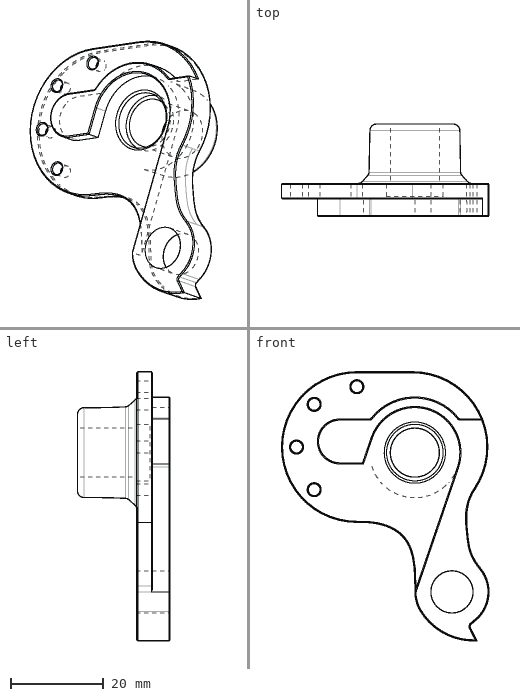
import math

import cadquery as cq


PLATE_THICKNESS = 3.4
RAISED_HEIGHT = 3.8
BOSS_HEIGHT = 12.8
EDGE_CHAMFER = 0.25

LOBE_RADIUS = 16.25
LOBE_Z = 1.2
LEFT_LOBE_X = -12.5
RIGHT_LOBE_X = -0.5
RIGHT_LOBE_END_ANGLE = math.radians(-34)

EYE_X, EYE_Z = 8.0, -30.02
EYE_RADIUS = 8.0
EYE_HOLE_DIAMETER = 9.04
EYE_START_ANGLE = math.radians(40)
EYE_END_ANGLE = math.radians(-52)
CLAW_START_ANGLE = math.radians(212)
CLAW_RADIUS = 13.5
CLAW_TIP_X = 13.4
CLAW_NOTCH = (11.75, -37.3)
NOTCH_FILLET = 0.7

NECK_RIGHT_MIDDLE = ((11.2, -13.0), (11.4, -17.5))
NECK_LEFT_START_X = -11.5
NECK_LEFT_END_Z = -28.76
NECK_LEFT_MIDDLE = (-3.3, -17.5)

PAD_RADIUS = 4.85
PAD_X, PAD_Z = -16.15, 2.4
RIB_INNER_RADIUS = 9.7
RIB_OUTER_RADIUS = 12.0
RIB_CORNER_FILLET = 0.5

BOSS_BASE_RADIUS = 11.7
BOSS_ROOT_RADIUS = 9.9
BOSS_TIP_RADIUS = 9.7
BOSS_CONE_HEIGHT = 2.0
BOSS_FOOT_FILLET = 1.0
BOSS_TIP_FILLET = 1.5
BORE_DIAMETER = 10.53
COUNTERBORE_DIAMETER = 12.2
COUNTERBORE_DEPTH = PLATE_THICKNESS
COUNTERBORE_CHAMFER = 0.5

SMALL_HOLE_DIAMETER = 2.53
SMALL_HOLE_CHAMFER = 0.25
SMALL_HOLE_CIRCLE_RADIUS = 13.0
SMALL_HOLE_ANGLES = (90, 135, 180, 225)

BACK_Y = PLATE_THICKNESS
MIDDLE_Y = PLATE_THICKNESS / 2
FRONT_Y = -RAISED_HEIGHT
TOTAL_DEPTH = BOSS_HEIGHT + PLATE_THICKNESS + RAISED_HEIGHT


def polar(center, radius, angle):
    """Point at an angle (radians) on a circle in the XZ plane."""
    return (center[0] + radius * math.cos(angle), center[1] + radius * math.sin(angle))


def at_depth(y):
    """XZ workplane at depth y; extrusions run toward -Y."""
    return cq.Workplane("XZ", origin=(0, y, 0))


def outline(y):
    """Closed outer contour of the whole part at depth y."""
    right_lobe = (RIGHT_LOBE_X, LOBE_Z)
    eye = (EYE_X, EYE_Z)
    top_z = LOBE_Z + LOBE_RADIUS
    bottom_z = LOBE_Z - LOBE_RADIUS

    right_lobe_end = polar(right_lobe, LOBE_RADIUS, RIGHT_LOBE_END_ANGLE)
    right_lobe_direction = (math.sin(RIGHT_LOBE_END_ANGLE), -math.cos(RIGHT_LOBE_END_ANGLE))
    eye_start = polar(eye, EYE_RADIUS, EYE_START_ANGLE)
    eye_direction = (math.sin(EYE_START_ANGLE), -math.cos(EYE_START_ANGLE))
    eye_left = (EYE_X - EYE_RADIUS, EYE_Z)
    claw_start = polar(eye, EYE_RADIUS, CLAW_START_ANGLE)

    claw_center = polar(claw_start, -CLAW_RADIUS, CLAW_START_ANGLE)
    claw_end_angle = 2 * math.pi - math.acos((CLAW_TIP_X - claw_center[0]) / CLAW_RADIUS)
    claw_tip = polar(claw_center, CLAW_RADIUS, claw_end_angle)
    claw_middle = polar(claw_center, CLAW_RADIUS, (CLAW_START_ANGLE + claw_end_angle) / 2)
    eye_lower_left = polar(eye, EYE_RADIUS, (math.pi + CLAW_START_ANGLE) / 2)

    return (
        at_depth(y)
        .moveTo(LEFT_LOBE_X, top_z)
        .lineTo(RIGHT_LOBE_X, top_z)
        .threePointArc((RIGHT_LOBE_X + LOBE_RADIUS, LOBE_Z), right_lobe_end)
        .spline([*NECK_RIGHT_MIDDLE, eye_start], tangents=[right_lobe_direction, eye_direction],
                includeCurrent=True)
        .threePointArc((EYE_X + EYE_RADIUS, EYE_Z), polar(eye, EYE_RADIUS, EYE_END_ANGLE))
        .lineTo(*CLAW_NOTCH)
        .lineTo(*claw_tip)
        .threePointArc(claw_middle, claw_start)
        .threePointArc(eye_lower_left, eye_left)
        .lineTo(eye_left[0], NECK_LEFT_END_Z)
        .spline([NECK_LEFT_MIDDLE, (NECK_LEFT_START_X, bottom_z)], tangents=[(0, 1), (-1, 0)],
                includeCurrent=True)
        .lineTo(LEFT_LOBE_X, bottom_z)
        .threePointArc((LEFT_LOBE_X - LOBE_RADIUS, LOBE_Z), (LEFT_LOBE_X, top_z))
        .close()
    )


def outline_solid(back_y, front_y):
    """Outer contour extruded between two depths, with the claw notch rounded."""
    notch_axis = cq.selectors.NearestToPointSelector(
        (CLAW_NOTCH[0], (back_y + front_y) / 2, CLAW_NOTCH[1]))
    return outline(back_y).extrude(back_y - front_y).edges(notch_axis).fillet(NOTCH_FILLET)


def raised_region(back_y, front_y):
    """Pad, rib around the bore and hanger strip, reaching past the outer contour."""
    pad_top = PAD_Z + PAD_RADIUS
    pad_bottom = PAD_Z - PAD_RADIUS
    beyond = 2 * LOBE_RADIUS

    eye_left = (EYE_X - EYE_RADIUS, EYE_Z)
    lean = math.asin(RIB_INNER_RADIUS / math.hypot(*eye_left))
    right_tangent = polar((0, 0), RIB_INNER_RADIUS, -lean)
    left_tangent = polar((0, 0), RIB_INNER_RADIUS, math.pi - lean)
    pad_corner_x = left_tangent[0] - (left_tangent[1] - pad_bottom) * math.tan(lean)
    rib_end_x = math.sqrt(RIB_OUTER_RADIUS ** 2 - pad_top ** 2)

    region = (
        at_depth(back_y)
        .moveTo(PAD_X, pad_top)
        .lineTo(-rib_end_x, pad_top)
        .threePointArc((0, RIB_OUTER_RADIUS), (rib_end_x, pad_top))
        .lineTo(beyond, pad_top)
        .lineTo(beyond, EYE_Z - beyond)
        .lineTo(-beyond, EYE_Z - beyond)
        .lineTo(-beyond, EYE_Z)
        .lineTo(*eye_left)
        .lineTo(*right_tangent)
        .threePointArc((0, RIB_INNER_RADIUS), left_tangent)
        .lineTo(pad_corner_x, pad_bottom)
        .lineTo(PAD_X, pad_bottom)
        .threePointArc((PAD_X - PAD_RADIUS, PAD_Z), (PAD_X, pad_top))
        .close()
        .extrude(back_y - front_y)
    )
    middle_y = (back_y + front_y) / 2
    for x in (-rib_end_x, rib_end_x):
        corner = cq.selectors.NearestToPointSelector((x, middle_y, pad_top))
        region = region.edges(corner).fillet(RIB_CORNER_FILLET)
    return region


def make_plate():
    """Base plate with both rims chamfered."""
    return outline_solid(BACK_Y, 0).faces("<Y or >Y").edges().chamfer(EDGE_CHAMFER)


def make_raised():
    """Raised front body, sunk halfway into the plate, with its front rim chamfered."""
    body = outline_solid(MIDDLE_Y, FRONT_Y).intersect(raised_region(MIDDLE_Y, FRONT_Y))
    return body.faces("<Y").edges().chamfer(EDGE_CHAMFER)


def make_boss():
    """Revolved boss on the back: flared foot, slight draft and a rounded tip."""
    root_y = BACK_Y + BOSS_CONE_HEIGHT
    tip_y = BACK_Y + BOSS_HEIGHT
    boss = (
        cq.Workplane("XY")
        .moveTo(0, MIDDLE_Y)
        .lineTo(BOSS_BASE_RADIUS, MIDDLE_Y)
        .lineTo(BOSS_BASE_RADIUS, BACK_Y)
        .lineTo(BOSS_ROOT_RADIUS, root_y)
        .lineTo(BOSS_TIP_RADIUS, tip_y)
        .lineTo(0, tip_y)
        .close()
        .revolve(360, (0, 0, 0), (0, 1, 0))
    )
    root_edge = cq.selectors.NearestToPointSelector((0, root_y, 0))
    boss = boss.edges(root_edge).fillet(BOSS_FOOT_FILLET)
    return boss.faces(">Y").edges().fillet(BOSS_TIP_FILLET)


def blend_boss_foot(body):
    """Round the corner where the boss foot meets the plate back."""
    foot_edge = cq.selectors.NearestToPointSelector((0, BACK_Y, 0))
    return body.edges(foot_edge).fillet(BOSS_FOOT_FILLET)


def cylinder(diameter, x, z, front_y, length):
    """Cylinder along +Y starting at front_y."""
    return cq.Workplane(cq.Solid.makeCylinder(
        diameter / 2, length, cq.Vector(x, front_y, z), cq.Vector(0, 1, 0)))


def countersink(diameter, chamfer, x, z):
    """Cone that chamfers a hole mouth on the plate front."""
    return cq.Workplane(cq.Solid.makeCone(
        diameter / 2 + chamfer, diameter / 2, chamfer,
        cq.Vector(x, 0, z), cq.Vector(0, 1, 0)))


def cut_bore(body):
    """Through bore with a chamfered counterbore at the plate front."""
    body = body.cut(cylinder(BORE_DIAMETER, 0, 0, FRONT_Y, TOTAL_DEPTH))
    body = body.cut(cylinder(COUNTERBORE_DIAMETER, 0, 0, 0, COUNTERBORE_DEPTH))
    return body.cut(countersink(COUNTERBORE_DIAMETER, COUNTERBORE_CHAMFER, 0, 0))


def cut_small_holes(body):
    """Through holes around the left lobe, chamfered on the front."""
    for angle in SMALL_HOLE_ANGLES:
        x, z = polar((LEFT_LOBE_X, LOBE_Z), SMALL_HOLE_CIRCLE_RADIUS, math.radians(angle))
        body = body.cut(cylinder(SMALL_HOLE_DIAMETER, x, z, 0, PLATE_THICKNESS))
        body = body.cut(countersink(SMALL_HOLE_DIAMETER, SMALL_HOLE_CHAMFER, x, z))
    return body


def cut_eye_hole(body):
    """Plain through hole in the hanger eye."""
    return body.cut(cylinder(EYE_HOLE_DIAMETER, EYE_X, EYE_Z, FRONT_Y, TOTAL_DEPTH))


result = make_plate().union(make_raised()).union(make_boss())
result = blend_boss_foot(result)
result = cut_bore(result)
result = cut_small_holes(result)
result = cut_eye_hole(result)